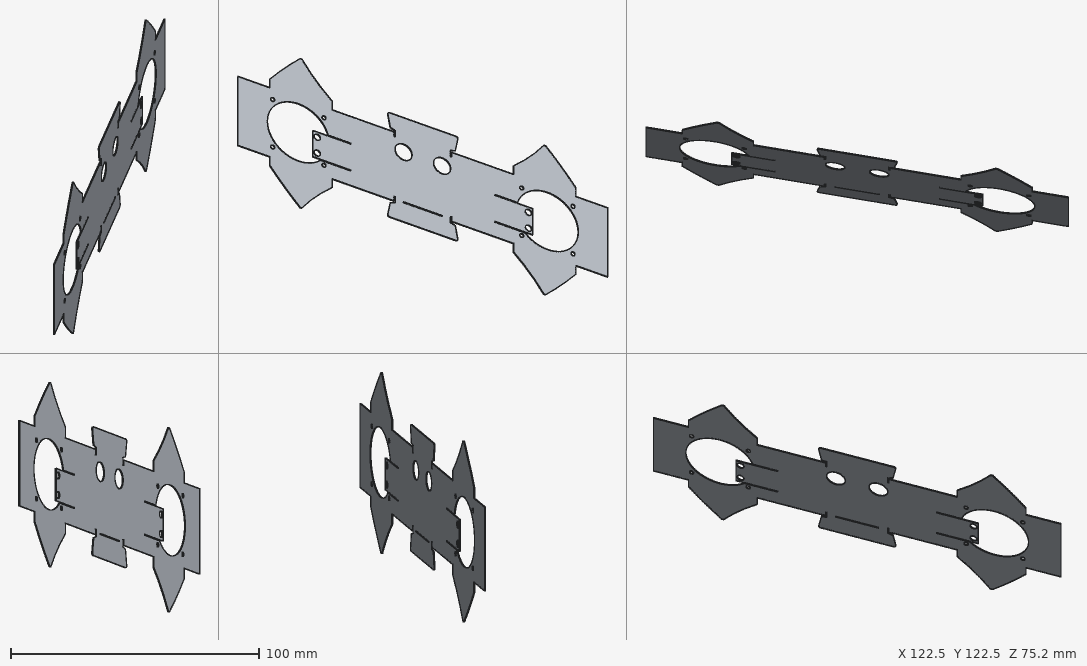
import cadquery as cq
import math

overall_span = 122.5
thickness = 0.5
turn_angle = -45.0
plate_length = overall_span * math.sqrt(2) - thickness
body_height = 34.9
overall_height = 75.2

fin_outer = 71.5
fin_width = 29.2
fin_shoulder = 21.8
fin_tip = 57.0
fin_tip_flat = 0.9
fin_outer_bulge = (64.1, 30.6)
fin_inner_hollow = (50.6, 30.0)

window_offset = 58.2
window_diameter = 28.9
mount_pitch = 24.0
mount_diameter = 1.8

tab_end = 51.3
tab_root = 33.7
tab_center_z = -3.1
tab_height = 13.2
tab_slot = 0.4
tab_hole_offset = 49.4
tab_hole_pitch = 8.0
tab_hole_diameter = 3.0

ear_top = 26.3
ear_half_top = 16.5
ear_half_bottom = 15.2
ear_corner_z = 19.0
ear_root_z = 18.3
ear_corner_radius = 1.0
relief_inner = 12.9
relief_width = 0.6
relief_bottom = 15.2

eye_pitch = 18.0
eye_z = 9.0
eye_diameter = 8.0
slit_length = 18.1
slit_height = 0.4
slit_z = -16.4


def sheet(sketch):
    """Extrude a closed outline symmetrically through the sheet thickness."""
    return sketch.extrude(thickness / 2, both=True)


def plane():
    return cq.Workplane("XZ")


def block(u_min, u_max, z_min, z_max):
    center = ((u_min + u_max) / 2, (z_min + z_max) / 2)
    return sheet(plane().center(*center).rect(u_max - u_min, z_max - z_min))


def holes(points, diameter):
    return sheet(plane().pushPoints(points).circle(diameter / 2))


def both_ends(shape):
    return shape.union(shape.mirror("YZ"))


def both_edges(shape):
    return shape.union(shape.mirror("XY"))


def fin():
    """Leaf-shaped point: bulged on its outer side, hollow on its inner side."""
    inner = fin_outer - fin_width
    tip_z = overall_height / 2
    outline = (
        plane()
        .moveTo(fin_outer, 0)
        .lineTo(fin_outer, fin_shoulder)
        .threePointArc(fin_outer_bulge, (fin_tip + fin_tip_flat / 2, tip_z))
        .lineTo(fin_tip - fin_tip_flat / 2, tip_z)
        .threePointArc(fin_inner_hollow, (inner, fin_shoulder))
        .lineTo(inner, 0)
        .close()
    )
    return sheet(outline)


def ear():
    """Flared ear on a straight neck, with its two outer corners rounded."""
    right_side = [
        (relief_inner, 0),
        (relief_inner, ear_root_z),
        (ear_half_bottom, ear_corner_z),
        (ear_half_top, ear_top),
    ]
    left_side = [(-u, z) for u, z in reversed(right_side)]
    ear_body = sheet(plane().polyline(right_side + left_side).close())
    return ear_body.edges("|Y and >Z").fillet(ear_corner_radius)


def ear_relief():
    """Narrow cut into the body edge beside the neck of an ear."""
    return block(relief_inner, relief_inner + relief_width, relief_bottom, body_height / 2)


def window():
    """Round window, leaving the spring tab and opening a slot along each of its edges."""
    tab_bottom = tab_center_z - tab_height / 2
    tab_top = tab_center_z + tab_height / 2
    opening = holes([(window_offset, 0)], window_diameter)
    slots = block(tab_root, window_offset, tab_bottom - tab_slot, tab_top + tab_slot)
    slots = slots.cut(block(0, window_offset, tab_bottom, tab_top))
    tab = block(tab_root, tab_end, tab_bottom, tab_top)
    return opening.cut(tab).union(slots)


def end_holes():
    """Four holes around a window and two in its tab."""
    half_mount = mount_pitch / 2
    half_tab = tab_hole_pitch / 2
    mounts = [(window_offset + i * half_mount, j * half_mount) for i in (-1, 1) for j in (-1, 1)]
    tab_points = [(tab_hole_offset, tab_center_z + j * half_tab) for j in (-1, 1)]
    return holes(mounts, mount_diameter).union(holes(tab_points, tab_hole_diameter))


def middle_openings():
    eyes = holes([(i * eye_pitch / 2, eye_z) for i in (-1, 1)], eye_diameter)
    half_slit = slit_height / 2
    return eyes.union(block(-slit_length / 2, slit_length / 2, slit_z - half_slit, slit_z + half_slit))


plate = block(-plate_length / 2, plate_length / 2, -body_height / 2, body_height / 2)
plate = plate.cut(both_ends(both_edges(ear_relief())))
plate = plate.union(both_ends(both_edges(fin())))
plate = plate.union(both_edges(ear()))
plate = plate.cut(both_ends(window())).cut(both_ends(end_holes())).cut(middle_openings())

result = plate.rotate((0, 0, 0), (0, 0, 1), turn_angle)